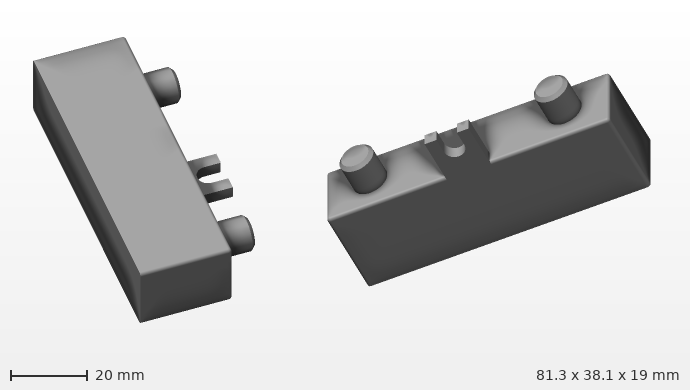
import cadquery as cq

body_length = 81.3
body_depth = 25.4
body_height = 19.0
edge_radius = 1.0

pin_diameter = 9.75
pin_length = 9.4
pin_chamfer = 1.0
pin_spacing = 55.8

tab_width = 12.7
tab_length = 12.7
tab_thickness = 3.6
slot_width = 5.85
slot_depth = 7.55


def make_body():
    block = cq.Workplane("XY").box(body_length, body_depth, body_height, centered=(True, False, False))
    return block.edges("|Y or >Y").fillet(edge_radius)


def make_pin(x):
    back_plane = cq.Plane(origin=(x, body_depth, body_height / 2), xDir=(1, 0, 0), normal=(0, 1, 0))
    pin = cq.Workplane(back_plane).circle(pin_diameter / 2).extrude(pin_length)
    return pin.faces(">Y").chamfer(pin_chamfer)


def make_tab():
    root_y = body_depth - 2 * edge_radius
    tip_y = body_depth + tab_length
    slot_radius = slot_width / 2
    slot_end_y = tip_y - slot_depth
    arc_start_y = slot_end_y + slot_radius
    return (
        cq.Workplane("XY")
        .moveTo(-tab_width / 2, root_y)
        .lineTo(tab_width / 2, root_y)
        .lineTo(tab_width / 2, tip_y)
        .lineTo(slot_radius, tip_y)
        .lineTo(slot_radius, arc_start_y)
        .threePointArc((0, slot_end_y), (-slot_radius, arc_start_y))
        .lineTo(-slot_radius, tip_y)
        .lineTo(-tab_width / 2, tip_y)
        .close()
        .extrude(tab_thickness)
    )


result = make_body().union(make_tab())
for side in (-1, 1):
    result = result.union(make_pin(side * pin_spacing / 2))